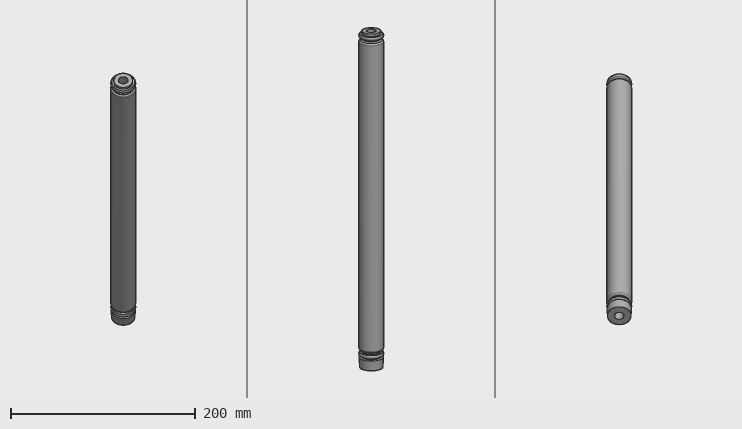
import cadquery as cq

length = 388.0
outer_radius = 27.0 / 2
collar_radius = 20.5 / 2
root_radius = 19.0 / 2
bore_radius = 10.0 / 2

flank_radius = 12.5
edge_half_thickness = 2.0
lower_foot_drop = 3.5
upper_foot_rise = 2.5
lower_rim_height = 15.5
upper_rim_height = length - 5.0

sleeve_top = 11.5
sleeve_bottom_radius = 12.8
sleeve_top_radius = 13.4

body_bottom = 22.5
body_top = length - 12.5
shoulder_round = 2.0
shoulder_slope = 1.0

shoulder_radius = outer_radius - shoulder_round


def add_rim(profile, height):
    """Add one rim, going upwards, to the half profile."""
    return (
        profile
        .lineTo(root_radius, height - lower_foot_drop)
        .lineTo(flank_radius, height - edge_half_thickness)
        .threePointArc((outer_radius, height), (flank_radius, height + edge_half_thickness))
        .lineTo(collar_radius, height + upper_foot_rise)
    )


profile = (
    cq.Workplane("XZ")
    .lineTo(sleeve_bottom_radius, 0)
    .lineTo(sleeve_top_radius, sleeve_top)
    .lineTo(root_radius, sleeve_top)
)
profile = add_rim(profile, lower_rim_height)
profile = (
    profile
    .lineTo(collar_radius, body_bottom - shoulder_round - shoulder_slope)
    .lineTo(shoulder_radius, body_bottom - shoulder_round)
    .radiusArc((outer_radius, body_bottom), -shoulder_round)
    .lineTo(outer_radius, body_top)
    .radiusArc((shoulder_radius, body_top + shoulder_round), -shoulder_round)
    .lineTo(root_radius, body_top + shoulder_round + shoulder_slope)
)
profile = add_rim(profile, upper_rim_height)
profile = profile.lineTo(collar_radius, length).lineTo(0, length).close()
body = profile.revolve(360, (0, 0, 0), (0, 1, 0))

bore = cq.Workplane("XY").circle(bore_radius).extrude(length)

result = body.cut(bore)